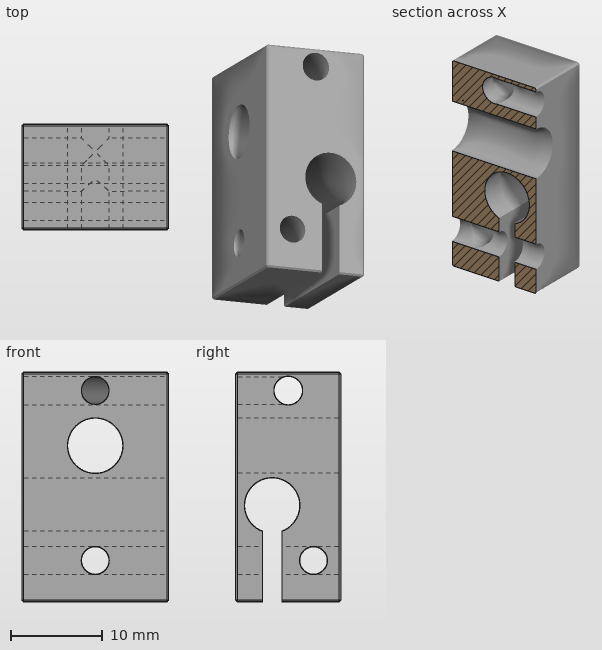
import cadquery as cq

width = 16.0
depth = 11.5
height = 25.0
edge_chamfer = 0.2

main_bore_diameter = 6.0
main_bore_z = 4.5
screw_diameter = 3.0
screw_z = -8.0

upper_cross_diameter = 3.1
upper_hole_z = 10.5
upper_cross_y = 0.0

clamp_bore_diameter = 6.0
clamp_y = -1.75
clamp_z = -2.0
slot_width = 2.1

lower_cross_y = 2.75


def bore_along_x(diameter, y, z):
    """Cylinder that passes through the whole width."""
    return cq.Workplane("YZ").center(y, z).circle(diameter / 2).extrude(width / 2, both=True)


def bore_along_y(diameter, z, length):
    """Cylinder that starts at the front (-Y) face and runs toward +Y."""
    front = cq.Workplane("XZ", origin=(0, -depth / 2, z))
    return front.circle(diameter / 2).extrude(-length)


block = cq.Workplane("XY").box(width, depth, height).edges().chamfer(edge_chamfer)

block = block.cut(bore_along_y(main_bore_diameter, main_bore_z, depth))
block = block.cut(bore_along_y(screw_diameter, screw_z, depth))
block = block.cut(bore_along_y(screw_diameter, upper_hole_z, depth / 2 + upper_cross_y))

block = block.cut(bore_along_x(upper_cross_diameter, upper_cross_y, upper_hole_z))
block = block.cut(bore_along_x(screw_diameter, lower_cross_y, screw_z))
block = block.cut(bore_along_x(clamp_bore_diameter, clamp_y, clamp_z))

slot_height = clamp_z + height / 2
slot = cq.Workplane("XY").box(width, slot_width, slot_height)
slot = slot.translate((0, clamp_y, clamp_z - slot_height / 2))

result = block.cut(slot)